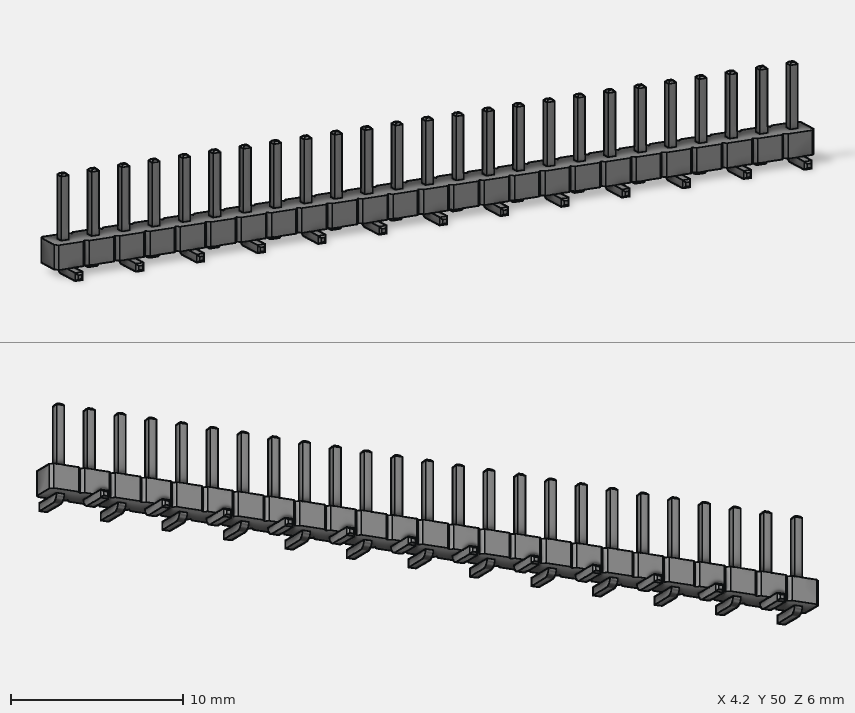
import cadquery as cq

pin_count = 25
pitch = 2.0
pin_size = 0.5
bend_radius = pin_size
total_height = 6.0
foot_span = 4.2
tip_chamfer = 0.125

body_width = 2.0
body_height = 1.5
corner_chamfer = 0.2

body_bottom = pin_size
foot_reach = foot_span / 2


def make_body_cell(y):
    """One bevelled block of the insulator, one pitch long."""
    return (
        cq.Workplane("XY", origin=(0, y, body_bottom))
        .rect(body_width, pitch)
        .extrude(body_height)
        .edges("|Z")
        .chamfer(corner_chamfer)
    )


def make_wire(length):
    """Square wire rising from Z = 0 with its upper end bevelled."""
    return (
        cq.Workplane("XY")
        .rect(pin_size, pin_size)
        .extrude(length)
        .faces(">Z")
        .chamfer(tip_chamfer)
    )


def make_pin():
    """L-shaped pin at the origin with its foot pointing to +X."""
    half = pin_size / 2
    post = make_wire(total_height)
    foot = (
        make_wire(foot_reach + half)
        .rotate((0, 0, 0), (0, 1, 0), 90)
        .translate((-half, 0, half))
    )
    outer_corner = cq.selectors.NearestToPointSelector((-half, 0, 0))
    return post.union(foot).edges("|Y").edges(outer_corner).fillet(bend_radius)


right_pin = make_pin()
left_pin = right_pin.rotate((0, 0, 0), (0, 0, 1), 180)

result = cq.Workplane("XY")
for index in range(pin_count):
    y = (index - (pin_count - 1) / 2) * pitch
    pin = right_pin if index % 2 == 0 else left_pin
    result = result.union(make_body_cell(y)).union(pin.translate((0, y, 0)))